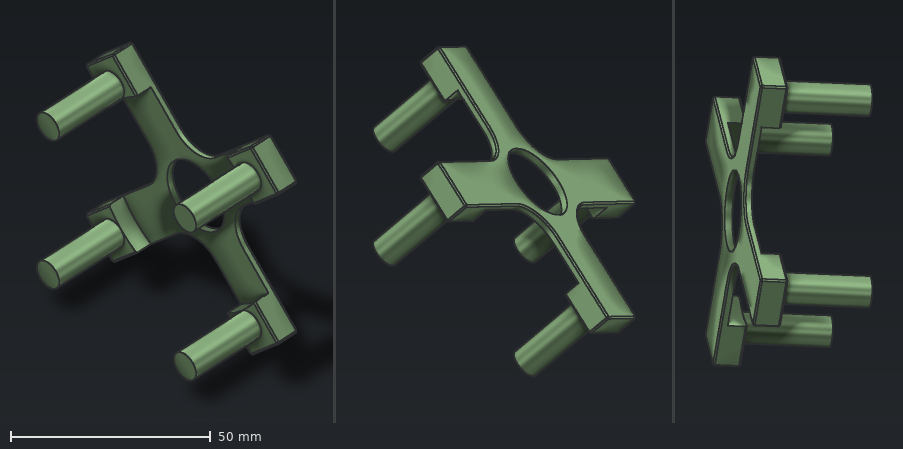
import cadquery as cq
import math

overall_span = 68.6
arm_width = 14.0
arm_count = 4
diagonal_angle = 45
plate_thickness = 2.0
pad_thickness = 7.0
recess_radius = 30.5
crotch_radius = 10.0
edge_chamfer = 0.445
arm_reach = overall_span / math.sqrt(2) - arm_width / 2 + edge_chamfer
bore_diameter = 20.5

pin_diameter = 8.0
pin_spacing = 49.0
overall_depth = 29.8
pin_length = overall_depth - pad_thickness
pin_circle_radius = pin_spacing / math.sqrt(2)

crotch_distance = arm_width / math.sqrt(2)
tip_distance = math.hypot(arm_reach, arm_width / 2)


def front_plane(depth):
    """XZ workplane at the given depth in front of the back face; extrusions run towards -Y."""
    return cq.Workplane("XZ", origin=(0, -depth, 0))


def make_cross():
    """Solid diagonal cross at pad depth, with rounded crotches and chamfered arm ends."""
    arm = front_plane(0).rect(2 * arm_reach, arm_width).extrude(pad_thickness)
    crossing_arm = front_plane(0).rect(arm_width, 2 * arm_reach).extrude(pad_thickness)
    cross = arm.union(crossing_arm)

    mid_distance = (crotch_distance + tip_distance) / 2
    depth_edges = cross.edges("|Y").vals()
    crotch_edges = [e for e in depth_edges if math.hypot(e.Center().x, e.Center().z) < mid_distance]
    cross = cross.newObject(crotch_edges).fillet(crotch_radius)

    depth_edges = cross.edges("|Y").vals()
    tip_edges = [e for e in depth_edges if math.hypot(e.Center().x, e.Center().z) > mid_distance]
    cross = cross.newObject(tip_edges).chamfer(edge_chamfer)

    cross = cross.faces("<Y or >Y").edges().chamfer(edge_chamfer)
    return cross.rotate((0, 0, 0), (0, 1, 0), diagonal_angle)


def make_bracket():
    """Cross thinned to a plate inside the pads, with the central bore."""
    recess = front_plane(plate_thickness).circle(recess_radius).extrude(pad_thickness - plate_thickness)
    bore = front_plane(0).circle(bore_diameter / 2).extrude(pad_thickness)
    return make_cross().cut(recess).cut(bore)


def make_pin(x, z):
    """Plain round pin standing on the front face of a pad."""
    return front_plane(pad_thickness).center(x, z).circle(pin_diameter / 2).extrude(pin_length)


bracket = make_bracket()

pins = []
for arm_index in range(arm_count):
    angle = math.radians(diagonal_angle + arm_index * 360 / arm_count)
    pin = make_pin(pin_circle_radius * math.cos(angle), pin_circle_radius * math.sin(angle))
    pins.append(pin.val())

result = cq.Compound.makeCompound([bracket.val(), *pins])